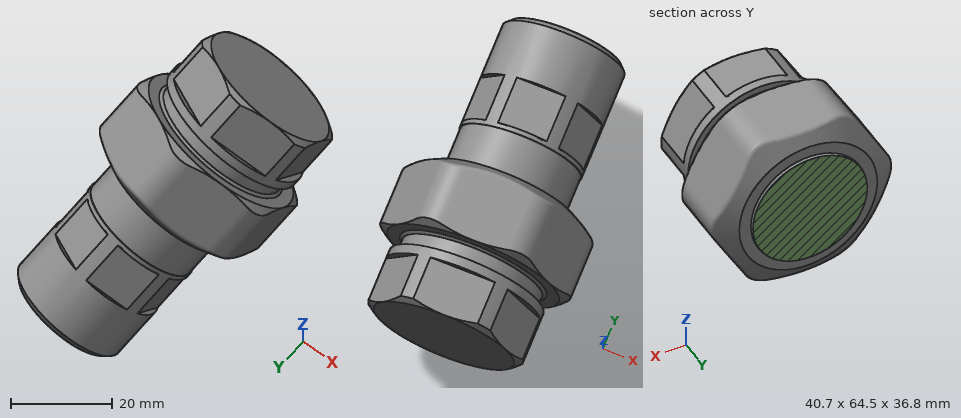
import cadquery as cq
import math


plug_diameter = 33.0
plug_across_flats = 30.0
collar_diameter = 30.0
collar_root_diameter = 31.4
nut_across_flats = 36.79
nut_across_corners = 40.67
nut_back_face_diameter = 31.0
neck_diameter = 25.8
tail_diameter = 26.15
tail_across_flats = 24.0

plug_flat_length = 10.0
flange_length = 2.0
collar_length = 3.0
collar_cone_length = 0.5
nut_length = 16.0
neck_length = 9.0
tail_ring_length = 1.0
tail_flat_length = 10.0
tail_plain_length = 13.0

nut_edge_fillet = 1.0
tail_end_chamfer = 1.2
hex_chamfer_angle = 30.0
hex_chamfer_slope = math.tan(math.radians(hex_chamfer_angle))
side_count = 6
corner_ratio = 1 / math.cos(math.pi / side_count)

flange_front = plug_flat_length
collar_front = flange_front + flange_length
cone_front = collar_front + collar_length
nut_front = cone_front + collar_cone_length
nut_back = nut_front + nut_length
neck_back = nut_back + neck_length
tail_flats_front = neck_back + tail_ring_length
tail_flats_back = tail_flats_front + tail_flat_length
tail_back = tail_flats_back + tail_plain_length


def revolve_about_y(points):
    """Solid of revolution from a closed (radius, Y) outline."""
    return cq.Workplane("XY").polyline(points).close().revolve(360, (0, 0, 0), (0, 1, 0))


def hexagon_prism(across_flats, start, end):
    """Hexagonal prism along Y with two of its flats facing up and down."""
    across_corners = across_flats * corner_ratio
    return (
        cq.Workplane("XZ", origin=(0, start, 0))
        .polygon(side_count, across_corners)
        .extrude(start - end)
    )


def cut_wrench_flats(body, diameter, across_flats, start, end):
    """Mill six flats into a round body between two stations."""
    blank = cq.Workplane("XZ", origin=(0, start, 0)).circle(diameter).extrude(start - end)
    return body.cut(blank.cut(hexagon_prism(across_flats, start, end)))


def make_plug():
    radius = plug_diameter / 2
    face_radius = plug_across_flats / 2
    chamfer_length = (radius - face_radius) * hex_chamfer_slope
    collar_radius = collar_diameter / 2
    body = revolve_about_y([
        (0, 0),
        (face_radius, 0),
        (radius, chamfer_length),
        (radius, collar_front),
        (collar_radius, collar_front),
        (collar_radius, cone_front),
        (collar_root_diameter / 2, nut_front),
        (0, nut_front),
    ])
    return cut_wrench_flats(body, plug_diameter, plug_across_flats, 0, flange_front)


def make_nut():
    flat_radius = nut_across_flats / 2
    back_face_radius = nut_back_face_diameter / 2
    sharp_corner_radius = flat_radius * corner_ratio
    corner_loss = sharp_corner_radius - nut_across_corners / 2
    corner_rounding = corner_loss / (corner_ratio - 1)
    front_chamfer_length = (sharp_corner_radius - flat_radius) * hex_chamfer_slope
    back_cone_length = (sharp_corner_radius - back_face_radius) * hex_chamfer_slope

    prism = hexagon_prism(nut_across_flats, nut_front, nut_back).edges("|Y").fillet(corner_rounding)
    back_cone = revolve_about_y([
        (0, nut_front),
        (sharp_corner_radius, nut_front),
        (sharp_corner_radius, nut_back - back_cone_length),
        (back_face_radius, nut_back),
        (0, nut_back),
    ])
    front_cone = revolve_about_y([
        (0, nut_front),
        (flat_radius, nut_front),
        (sharp_corner_radius, nut_front + front_chamfer_length),
        (sharp_corner_radius, nut_back),
        (0, nut_back),
    ])
    nut = prism.intersect(back_cone)
    nut = nut.edges("(not %LINE) and (not >Y) and (not <Y)").fillet(nut_edge_fillet)
    return nut.intersect(front_cone)


def make_tail():
    neck_radius = neck_diameter / 2
    radius = tail_diameter / 2
    body = revolve_about_y([
        (0, nut_back),
        (neck_radius, nut_back),
        (neck_radius, neck_back),
        (radius, neck_back),
        (radius, tail_back - tail_end_chamfer),
        (radius - tail_end_chamfer, tail_back),
        (0, tail_back),
    ])
    return cut_wrench_flats(body, tail_diameter, tail_across_flats, tail_flats_front, tail_flats_back)


result = make_plug().union(make_nut()).union(make_tail())